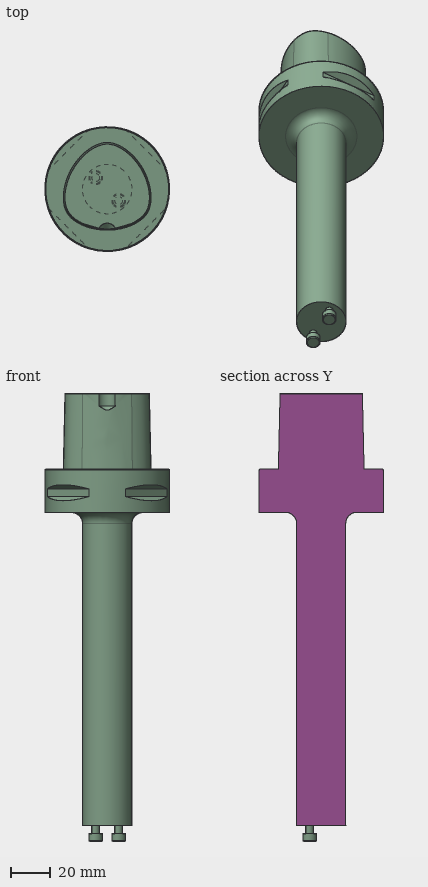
import cadquery as cq
import math


taper_length = 38.0
taper_base_width = 44.3
taper_reduction = 1.7
lobe_height = 1.4
lobe_count = 3
flank_half_angle = math.radians(24.5)
points_per_face = 9

notch_diameter = 9.0
notch_depth = 2.7
notch_length = 6.3
drill_point_angle = 110.0

flange_diameter = 63.0
flange_height = 22.0
flange_chamfer = 0.5
groove_drop = 12.0
groove_floor_height = 3.8
groove_floor_distance = 27.8
groove_flank_angle = 30.0
groove_count = 4

shank_diameter = 25.0
shank_fillet = 5.5

total_length = 226.0
neck_diameter = 4.0
neck_length = 4.0
head_diameter = 7.0
head_height = 4.0
head_chamfer = 0.5
screw_offset = 5.8

flange_top = -taper_length
flange_bottom = flange_top - flange_height
shank_end = -total_length + neck_length + head_height
taper_top_width = taper_base_width - taper_reduction


def polygon_point(width, angle):
    """Point of the constant-width outline whose normal has the given angle from +Y."""
    support = width / 2 + lobe_height * math.cos(lobe_count * angle)
    slope = -lobe_count * lobe_height * math.sin(lobe_count * angle)
    along = support * math.cos(angle) - slope * math.sin(angle)
    across = support * math.sin(angle) + slope * math.cos(angle)
    return cq.Vector(across, along, 0)


def polygon_face_edge(width, start, end):
    """Smooth stretch of the outline between two normal angles."""
    step = (end - start) / (points_per_face - 1)
    points = [polygon_point(width, start + i * step) for i in range(points_per_face)]
    tangents = [cq.Vector(math.cos(angle), -math.sin(angle), 0) for angle in (start, end)]
    return cq.Edge.makeSpline(points, tangents=tangents)


def polygon_wire(width, z):
    """Closed outline with a nose and a flatter flank for each lobe."""
    pitch = 2 * math.pi / lobe_count
    nose_half_angle = pitch / 2 - flank_half_angle
    edges = []
    for i in range(lobe_count):
        nose_start = i * pitch - nose_half_angle
        nose_end = i * pitch + nose_half_angle
        edges.append(polygon_face_edge(width, nose_start, nose_end))
        edges.append(polygon_face_edge(width, nose_end, nose_start + pitch))
    return cq.Wire.assembleEdges(edges).translate(cq.Vector(0, 0, z))


def make_taper():
    base = polygon_wire(taper_base_width, flange_top)
    top = polygon_wire(taper_top_width, 0)
    return cq.Workplane(cq.Solid.makeLoft([base, top], True))


def make_notch():
    """Upright drilled recess with a conical bottom, open at the side of the taper."""
    radius = notch_diameter / 2
    back_y = -(taper_top_width / 2 - lobe_height) + notch_depth
    tip_drop = radius / math.tan(math.radians(drill_point_angle / 2))
    profile = [(0, 0), (radius, 0), (radius, -notch_length), (0, -notch_length - tip_drop)]
    return (
        cq.Workplane("XZ")
        .polyline(profile)
        .close()
        .revolve(360, (0, 0, 0), (0, 1, 0))
        .translate((0, back_y - radius, 0))
    )


def make_flange():
    return (
        cq.Workplane("XY", origin=(0, 0, flange_bottom))
        .circle(flange_diameter / 2)
        .extrude(flange_height)
        .faces(">Z")
        .chamfer(flange_chamfer)
    )


def make_groove(angle):
    """Straight groove with a flat floor and flanks that open outward."""
    depth = flange_diameter / 2 - groove_floor_distance
    mouth_height = groove_floor_height + 2 * depth * math.tan(math.radians(groove_flank_angle))
    middle = flange_top - groove_drop
    profile = [
        (groove_floor_distance, middle - groove_floor_height / 2),
        (flange_diameter / 2, middle - mouth_height / 2),
        (flange_diameter / 2, middle + mouth_height / 2),
        (groove_floor_distance, middle + groove_floor_height / 2),
    ]
    return (
        cq.Workplane("XZ")
        .polyline(profile)
        .close()
        .extrude(flange_diameter / 2, both=True)
        .rotate((0, 0, 0), (0, 0, 1), angle)
    )


def make_shank():
    radius = shank_diameter / 2
    fillet_end = flange_bottom - shank_fillet
    bend = shank_fillet * (1 - math.sqrt(0.5))
    return (
        cq.Workplane("XZ")
        .moveTo(0, flange_bottom)
        .lineTo(radius + shank_fillet, flange_bottom)
        .threePointArc((radius + bend, flange_bottom - bend), (radius, fillet_end))
        .lineTo(radius, shank_end)
        .lineTo(0, shank_end)
        .close()
        .revolve(360, (0, 0, 0), (0, 1, 0))
    )


def make_screw(x, y):
    neck = cq.Workplane("XY", origin=(x, y, shank_end)).circle(neck_diameter / 2).extrude(-neck_length)
    head = (
        cq.Workplane("XY", origin=(x, y, -total_length))
        .circle(head_diameter / 2)
        .extrude(head_height)
        .faces("<Z")
        .chamfer(head_chamfer)
    )
    return neck.union(head)


flange = make_flange()
for index in range(groove_count):
    flange = flange.cut(make_groove(360 / groove_count * (index + 0.5)))

result = make_taper().cut(make_notch()).union(flange).union(make_shank())
for side in (-1, 1):
    result = result.union(make_screw(side * screw_offset, -side * screw_offset))